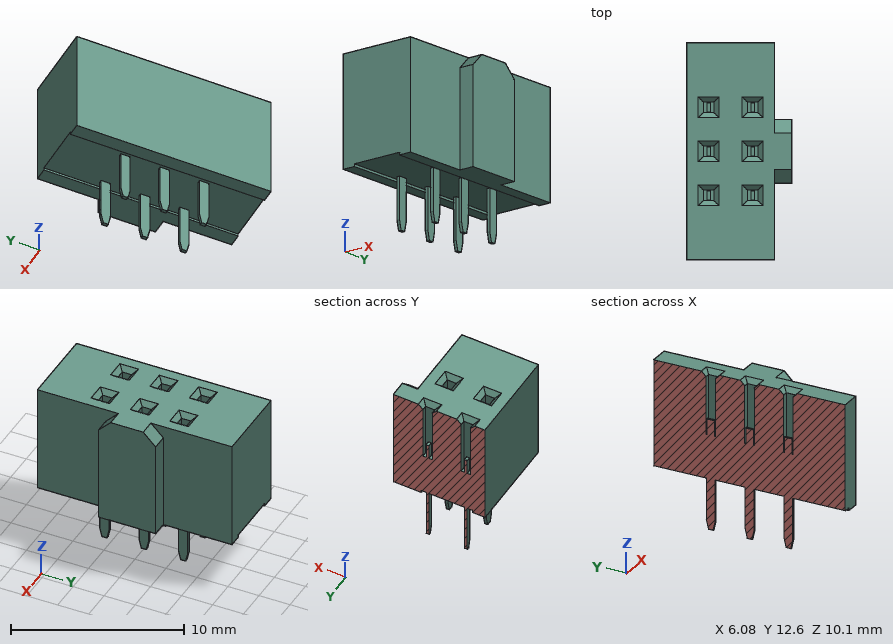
import cadquery as cq

BODY_X = 5.08
BODY_Y = 12.55
BODY_Z = 7.0
STANDOFF_GAP_X = 3.4
STANDOFF_HEIGHT = 0.16

KEY_DEPTH = 1.0
KEY_WIDTH = 3.7
KEY_CHAMFER = 0.8

PITCH = 2.54
ROWS = 3
COLUMNS = 2

SOCKET_MOUTH = 1.2
SOCKET_THROAT = 0.6
SOCKET_LEAD_IN = (SOCKET_MOUTH - SOCKET_THROAT) / 2
SOCKET_DEPTH = 4.0
CONTACT_HEIGHT = 1.0
CONTACT_WIDTH = 0.52

PIN_THICKNESS = 0.2
PIN_WIDTH = 0.6
PIN_LENGTH = 3.1
PIN_TIP_WIDTH = 0.32
PIN_TIP_LENGTH = 0.6


def make_housing():
    """Rectangular block with a shallow channel running along Y underneath."""
    block = cq.Workplane("XY").box(BODY_X, BODY_Y, BODY_Z, centered=(True, True, False))
    channel = cq.Workplane("XY").box(
        STANDOFF_GAP_X, BODY_Y, STANDOFF_HEIGHT, centered=(True, True, False)
    )
    return block.cut(channel)


def make_key():
    """Full-height rib on the +X side with both top corners chamfered."""
    key = cq.Workplane("XY").box(KEY_DEPTH, KEY_WIDTH, BODY_Z, centered=(False, True, False))
    key = key.faces(">Z").edges("|X").chamfer(KEY_CHAMFER)
    return key.translate((BODY_X / 2, 0, 0))


def make_socket():
    """Cutting tool for one socket: a square funnel leading into a square hole."""
    funnel = (
        cq.Workplane("XY")
        .workplane(offset=BODY_Z - SOCKET_LEAD_IN)
        .rect(SOCKET_THROAT, SOCKET_THROAT)
        .workplane(offset=SOCKET_LEAD_IN)
        .rect(SOCKET_MOUTH, SOCKET_MOUTH)
        .loft(ruled=True)
    )
    hole = (
        cq.Workplane("XY")
        .workplane(offset=BODY_Z - SOCKET_DEPTH)
        .rect(SOCKET_THROAT, SOCKET_THROAT)
        .extrude(SOCKET_DEPTH - SOCKET_LEAD_IN)
    )
    return funnel.union(hole)


def make_contact():
    """One contact: a flat pin with a tapered tip, and a blade inside the socket."""
    socket_floor = BODY_Z - SOCKET_DEPTH
    blade_top = socket_floor + CONTACT_HEIGHT
    shoulder = -PIN_LENGTH + PIN_TIP_LENGTH
    outline = [
        (-PIN_TIP_WIDTH / 2, -PIN_LENGTH),
        (PIN_TIP_WIDTH / 2, -PIN_LENGTH),
        (PIN_WIDTH / 2, shoulder),
        (PIN_WIDTH / 2, socket_floor),
        (CONTACT_WIDTH / 2, socket_floor),
        (CONTACT_WIDTH / 2, blade_top),
        (-CONTACT_WIDTH / 2, blade_top),
        (-CONTACT_WIDTH / 2, socket_floor),
        (-PIN_WIDTH / 2, socket_floor),
        (-PIN_WIDTH / 2, shoulder),
    ]
    return cq.Workplane("YZ").polyline(outline).close().extrude(PIN_THICKNESS / 2, both=True)


def contact_positions():
    """Centres of the contact grid, symmetric about the origin."""
    return [
        ((column - (COLUMNS - 1) / 2) * PITCH, (row - (ROWS - 1) / 2) * PITCH, 0)
        for column in range(COLUMNS)
        for row in range(ROWS)
    ]


def build_connector():
    connector = make_housing().union(make_key())
    socket = make_socket()
    contact = make_contact()
    for position in contact_positions():
        connector = connector.cut(socket.translate(position))
        connector = connector.union(contact.translate(position))
    return connector


result = build_connector()